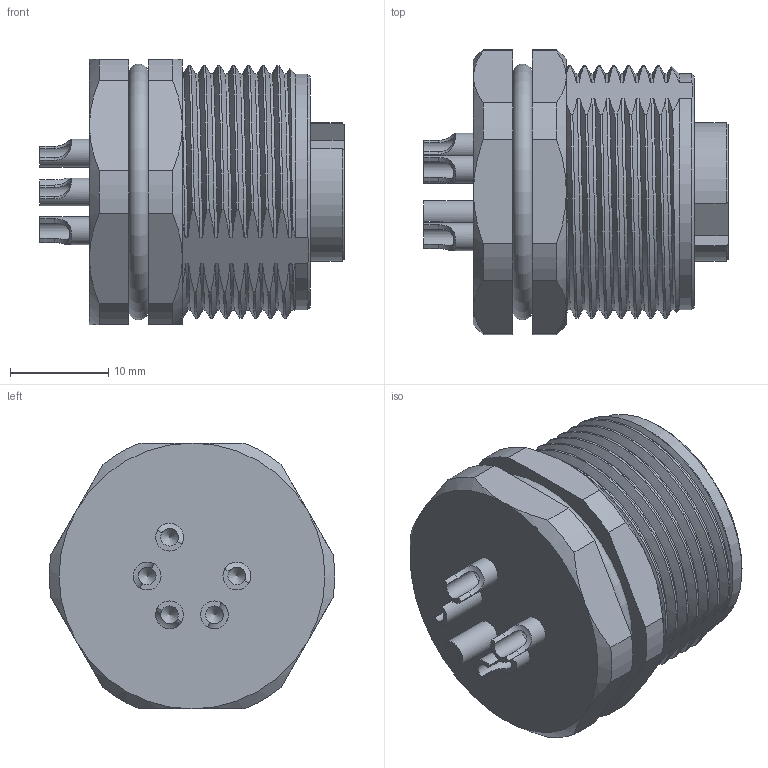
import cadquery as cq
import math


across_flats = 27.0
corner_diameter = 29.0
hex_chamfer = (corner_diameter - across_flats) / 2
flange_length = 4.0
nut_length = 3.45

ring_width = 2.0
ring_outer_radius = 13.0
ring_core_radius = ring_outer_radius - ring_width / 2

body_radius = 12.0
body_end = 22.45
body_chamfer = 0.25
thread_pitch = 1.5
thread_radius = 12.85
thread_crest_width = 0.22
thread_half_angle = math.radians(30)
thread_embed = 0.05
thread_turns = 9
thread_start = 8.275
thread_runout_end = 20.9

flat_distance = 11.9
flat_angle = 30

nose_radius = 7.05
nose_end = 25.9
nose_chamfer = 0.2
key_width = 5.0
key_floor_distance = 4.6
key_angle = 120

pin_length = 5.05
pin_radius = 1.41
pin_circle_radius = 4.55
cup_bore_radius = 0.9
cup_bore_depth = 4.0
cup_tip_half_angle = math.radians(45)
cup_flat_length = 1.5
cup_fillet_radius = 1.8
pins = [(0, 30), (60, 120), (180, 120), (240, 210), (300, 300)]

nut_start = flange_length + ring_width


def along_x(start):
    """Workplane facing +X at the given x, with local axes Y and Z."""
    return cq.Workplane("YZ", origin=(start, 0, 0))


def cylinder(start, end, radius):
    return along_x(start).circle(radius).extrude(end - start)


def turned(points):
    """Solid of revolution about X from (x, radius) points."""
    return cq.Workplane("XY").polyline(points).close().revolve(360, (0, 0, 0), (1, 0, 0))


def chamfered_hexagon(start, length, chamfered_face):
    """Hexagon with flats facing +/-Z, its corners turned round and chamfered at one end."""
    circumscribed_diameter = across_flats / math.cos(math.pi / 6)
    hexagon = along_x(start).polygon(6, circumscribed_diameter).extrude(length)
    turned_blank = cylinder(start, start + length, corner_diameter / 2)
    return hexagon.intersect(turned_blank.faces(chamfered_face).chamfer(hex_chamfer))


def sealing_ring():
    return (
        cq.Workplane("XY")
        .moveTo(flange_length, 0)
        .lineTo(flange_length, ring_core_radius)
        .threePointArc(
            (flange_length + ring_width / 2, ring_outer_radius),
            (nut_start, ring_core_radius),
        )
        .lineTo(nut_start, 0)
        .close()
        .revolve(360, (0, 0, 0), (1, 0, 0))
    )


def thread_ridge():
    """Right-hand helical ridge, trimmed by a 45 degree run-out at its front end."""
    root_radius = body_radius - thread_embed
    half_crest = thread_crest_width / 2
    half_base = half_crest + (thread_radius - root_radius) * math.tan(thread_half_angle)
    helix = cq.Wire.makeHelix(thread_pitch, thread_pitch * thread_turns, body_radius)
    ridge = (
        cq.Workplane("XZ")
        .polyline([
            (root_radius, -half_base),
            (thread_radius, -half_crest),
            (thread_radius, half_crest),
            (root_radius, half_base),
        ])
        .close()
        .sweep(cq.Workplane(helix), isFrenet=True)
        .rotate((0, 0, 0), (1, 1, 1), 120)
        .translate((thread_start, 0, 0))
    )
    envelope_radius = across_flats / 2
    runout_start = thread_runout_end - (envelope_radius - body_radius)
    runout_tip = thread_runout_end + body_radius
    envelope = turned([
        (nut_start, 0),
        (nut_start, envelope_radius),
        (runout_start, envelope_radius),
        (runout_tip, 0),
    ])
    return ridge.intersect(envelope)


def body():
    """Threaded barrel with two opposite flats cut across the thread."""
    core = cylinder(nut_start, body_end, body_radius).faces(">X").chamfer(body_chamfer)
    between_flats = (
        along_x(nut_start)
        .rect(2 * flat_distance, across_flats)
        .extrude(body_end - nut_start)
        .rotate((0, 0, 0), (1, 0, 0), flat_angle)
    )
    return core.union(thread_ridge()).intersect(between_flats)


def nose():
    plug = cylinder(body_end, nose_end, nose_radius).faces(">X").chamfer(nose_chamfer)
    key_slot = (
        along_x(body_end)
        .center(key_floor_distance + nose_radius / 2, 0)
        .rect(nose_radius, key_width)
        .extrude(nose_end - body_end)
        .rotate((0, 0, 0), (1, 0, 0), key_angle)
    )
    return plug.cut(key_slot)


def solder_pin():
    """Contact on the X axis whose cup opens toward +Y."""
    tip = -pin_length
    bore_end = tip + cup_bore_depth
    cone_tip = bore_end + cup_bore_radius / math.tan(cup_tip_half_angle)
    bore = turned([(tip, 0), (tip, cup_bore_radius), (bore_end, cup_bore_radius), (cone_tip, 0)])
    fillet_start = tip + cup_flat_length
    fillet_end = fillet_start + cup_fillet_radius
    opening = (
        cq.Workplane("XY")
        .moveTo(tip, 0)
        .lineTo(fillet_start, 0)
        .radiusArc((fillet_end, cup_fillet_radius), -cup_fillet_radius)
        .lineTo(tip, cup_fillet_radius)
        .close()
        .extrude(pin_radius, both=True)
    )
    return cylinder(tip, 0, pin_radius).cut(bore).cut(opening)


def place_pin(position_angle, opening_angle):
    position = math.radians(position_angle)
    return (
        solder_pin()
        .rotate((0, 0, 0), (1, 0, 0), opening_angle)
        .translate((0, pin_circle_radius * math.cos(position), pin_circle_radius * math.sin(position)))
    )


flange = chamfered_hexagon(0, flange_length, "<X")
lock_nut = chamfered_hexagon(nut_start, nut_length, ">X")

result = flange.union(sealing_ring()).union(body()).union(lock_nut).union(nose())
for position_angle, opening_angle in pins:
    result = result.union(place_pin(position_angle, opening_angle))